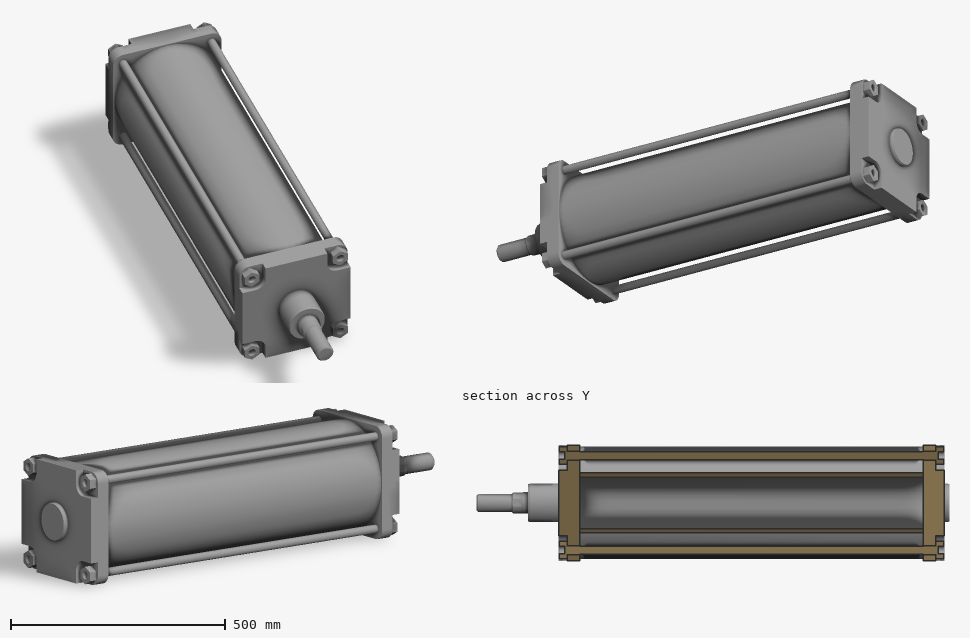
import cadquery as cq
import math


TOTAL_LENGTH = 1101.0
HEAD_THICKNESS = 51.0
REAR_BOSS_LENGTH = 11.0
TUBE_LENGTH = 798.0
FRONT_BOSS_LENGTH = 70.0

HEAD_SIDE = 270.0
HEAD_CORNER_RADIUS = 25.0
BOSS_DIAMETER = 90.0
BOSS_CHAMFER_LENGTH = 4.0
BOSS_CHAMFER_WIDTH = 1.7

POCKET_DEPTH = 20.0
POCKET_HALF_GAP = 77.0
POCKET_CORNER_RADIUS = 25.0

TUBE_DIAMETER = 262.0
TUBE_WALL = 5.0

TIE_ROD_OFFSET = 110.0
TIE_ROD_DIAMETER = 20.0
NUT_ACROSS_FLATS = 36.0
NUT_HEIGHT = 19.0
NUT_SOCKET_DIAMETER = 17.0
NUT_SOCKET_CHAMFER = 1.7
NUT_SOCKET_DEPTH = 13.0

ROD_DIAMETER = 50.0
THREAD_DIAMETER = 42.0
THREAD_CHAMFER = 3.0
THREAD_LENGTH = 81.0

WRENCH_DIAMETER = 48.0
WRENCH_LENGTH = 23.0
WRENCH_CHAMFER = 3.0
WRENCH_TAPER_LENGTH = 3.0
FLATS_ACROSS = 45.0

REAR_FACE = REAR_BOSS_LENGTH
TUBE_START = REAR_FACE + HEAD_THICKNESS
TUBE_END = TUBE_START + TUBE_LENGTH
FRONT_FACE = TUBE_END + HEAD_THICKNESS
THREAD_START = TOTAL_LENGTH - THREAD_LENGTH
WRENCH_START = THREAD_START - WRENCH_LENGTH


def cross_section(x):
    """Workplane across the X axis whose first direction is +Z."""
    return cq.Workplane(cq.Plane(origin=(x, 0, 0), xDir=(0, 0, 1), normal=(1, 0, 0)))


def cylinder(start, length, diameter):
    """Round bar along X."""
    return cross_section(start).circle(diameter / 2).extrude(length)


def corner_positions():
    """Tie rod centres as (Y, Z) pairs."""
    return [(y, z) for y in (-TIE_ROD_OFFSET, TIE_ROD_OFFSET) for z in (-TIE_ROD_OFFSET, TIE_ROD_OFFSET)]


def make_head(inner_face, outward, boss_length):
    """Square head with a boss on its outer side; outward is +1 or -1 along X."""
    head = (
        cross_section(inner_face)
        .rect(HEAD_SIDE, HEAD_SIDE)
        .extrude(outward * HEAD_THICKNESS)
        .edges("|X")
        .fillet(HEAD_CORNER_RADIUS)
    )
    outer_face = inner_face + outward * HEAD_THICKNESS
    boss = (
        cylinder(outer_face, outward * boss_length, BOSS_DIAMETER)
        .faces(">X" if outward > 0 else "<X")
        .chamfer(BOSS_CHAMFER_LENGTH, BOSS_CHAMFER_WIDTH)
    )
    pocket_side = HEAD_SIDE - 2 * POCKET_HALF_GAP
    pockets = (
        cross_section(outer_face)
        .rect(HEAD_SIDE, HEAD_SIDE, forConstruction=True)
        .vertices()
        .rect(pocket_side, pocket_side)
        .extrude(-outward * POCKET_DEPTH)
        .edges("|X")
        .fillet(POCKET_CORNER_RADIUS)
    )
    rod_holes = (
        cross_section(inner_face)
        .pushPoints(corner_positions())
        .circle(TIE_ROD_DIAMETER / 2)
        .extrude(outward * HEAD_THICKNESS)
    )
    return head.union(boss).cut(pockets).cut(rod_holes)


def make_rear_head():
    return make_head(TUBE_START, -1, REAR_BOSS_LENGTH)


def make_front_head():
    """Front head, bored through for the piston rod."""
    bore = cylinder(TUBE_END, HEAD_THICKNESS + FRONT_BOSS_LENGTH, ROD_DIAMETER)
    return make_head(TUBE_END, 1, FRONT_BOSS_LENGTH).cut(bore)


def make_tube():
    bore = cylinder(TUBE_START, TUBE_LENGTH, TUBE_DIAMETER - 2 * TUBE_WALL)
    return cylinder(TUBE_START, TUBE_LENGTH, TUBE_DIAMETER).cut(bore)


def make_piston_rod():
    """Rod from the inner side of the front head to the tip, with wrench flats and a threaded end."""
    shank = (
        cylinder(TUBE_END, WRENCH_START - TUBE_END, ROD_DIAMETER)
        .faces(">X")
        .chamfer(WRENCH_TAPER_LENGTH, (ROD_DIAMETER - WRENCH_DIAMETER) / 2)
    )
    flats = cross_section(WRENCH_START).rect(ROD_DIAMETER, FLATS_ACROSS).extrude(WRENCH_LENGTH)
    wrench_section = (
        cylinder(WRENCH_START, WRENCH_LENGTH, WRENCH_DIAMETER)
        .faces(">X")
        .chamfer(WRENCH_CHAMFER)
        .intersect(flats)
    )
    thread = cylinder(THREAD_START, THREAD_LENGTH, THREAD_DIAMETER).faces(">X").chamfer(THREAD_CHAMFER)
    return shank.union(wrench_section).union(thread)


def make_nut(pocket_floor, outward):
    """Hexagonal nut standing on a pocket floor, with a chamfered blind socket in its outer end."""
    across_corners = NUT_ACROSS_FLATS / math.cos(math.pi / 6)
    nut = cross_section(pocket_floor).polygon(6, across_corners).extrude(outward * NUT_HEIGHT)
    outer_end = pocket_floor + outward * NUT_HEIGHT
    socket = cylinder(outer_end, -outward * NUT_SOCKET_DEPTH, NUT_SOCKET_DIAMETER)
    return (
        nut.cut(socket)
        .faces(">X" if outward > 0 else "<X")
        .edges("%CIRCLE")
        .chamfer(NUT_SOCKET_CHAMFER)
    )


def make_tie_rod(y, z):
    """Tie rod between the pocket floors of both heads, in one piece with a nut on each end."""
    rear_floor = REAR_FACE + POCKET_DEPTH
    front_floor = FRONT_FACE - POCKET_DEPTH
    rod = cylinder(rear_floor, front_floor - rear_floor, TIE_ROD_DIAMETER)
    rod = rod.union(make_nut(rear_floor, -1)).union(make_nut(front_floor, 1))
    return rod.translate((0, y, z))


rear_head = make_rear_head()
front_head = make_front_head()
tube = make_tube()
piston_rod = make_piston_rod()
tie_rods = [make_tie_rod(y, z) for y, z in corner_positions()]

result = cq.Compound.makeCompound(
    [
        rear_head.val(),
        front_head.val(),
        tube.val(),
        piston_rod.val(),
        *[tie_rod.val() for tie_rod in tie_rods],
    ]
)